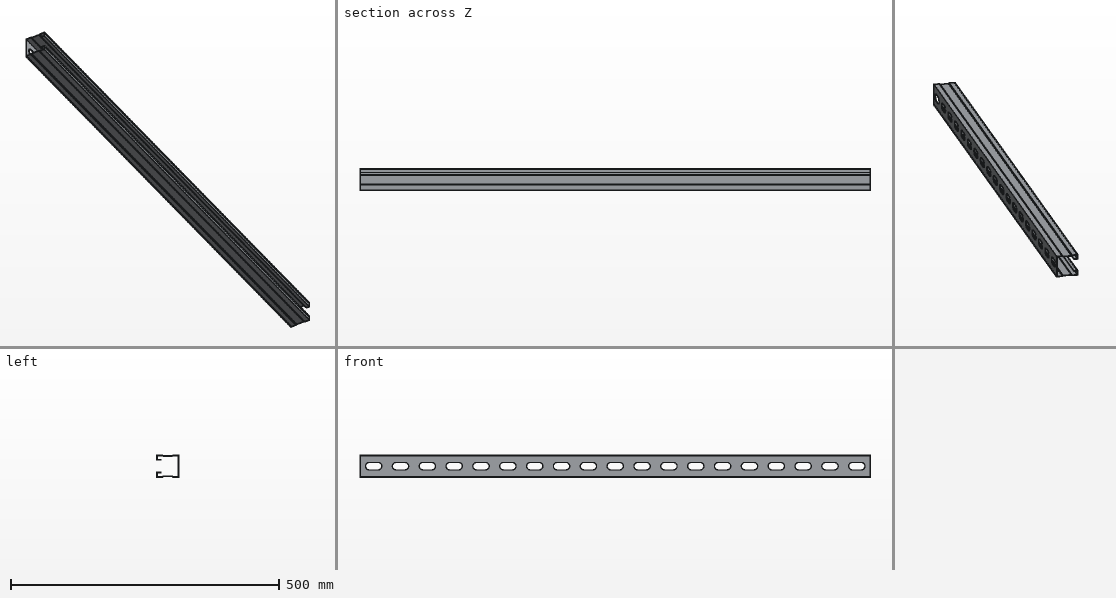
import cadquery as cq

length = 950.0
depth = 41.0
height = 41.3
wall = 1.5

opening = 22.3
lip_return = 7.5

groove_width = 19.2
groove_floor_width = 15.8
groove_depth = 1.0

slot_length = 30.0
slot_width = 13.5
slot_pitch = 50.0
slot_count = 19

back = -depth / 2
front = depth / 2
top = height / 2


def groove_points(surface_z):
    """Corners of the pressed groove, from -Y to +Y, on a wall surface at the given height."""
    floor_z = surface_z - groove_depth
    return [
        (-groove_width / 2, surface_z),
        (-groove_floor_width / 2, floor_z),
        (groove_floor_width / 2, floor_z),
        (groove_width / 2, surface_z),
    ]


def upper_outline():
    """Upper half of the cross-section as (Y, Z) points, from the outside of the web to its inside."""
    lip_edge = opening / 2
    lip_tip = front - lip_return
    inner_top = top - wall
    outside = [(back, top)] + groove_points(top) + [(front, top)]
    lip = [
        (front, lip_edge),
        (lip_tip, lip_edge),
        (lip_tip, lip_edge + wall),
        (front - wall, lip_edge + wall),
    ]
    inside_groove = list(reversed(groove_points(inner_top)))
    inside = [(front - wall, inner_top)] + inside_groove + [(back + wall, inner_top)]
    return outside + lip + inside


def channel():
    """Folded channel along X, symmetric about the XY plane."""
    upper = upper_outline()
    lower = [(y, -z) for y, z in reversed(upper)]
    return cq.Workplane("YZ").polyline(upper + lower).close().extrude(length / 2, both=True)


def web_slots():
    """Round-ended slot cutters, evenly pitched along the middle of the web."""
    return (
        cq.Workplane("XZ", origin=(0, back + wall, 0))
        .rarray(slot_pitch, 1, slot_count, 1)
        .slot2D(slot_length, slot_width)
        .extrude(wall)
    )


result = channel().cut(web_slots())